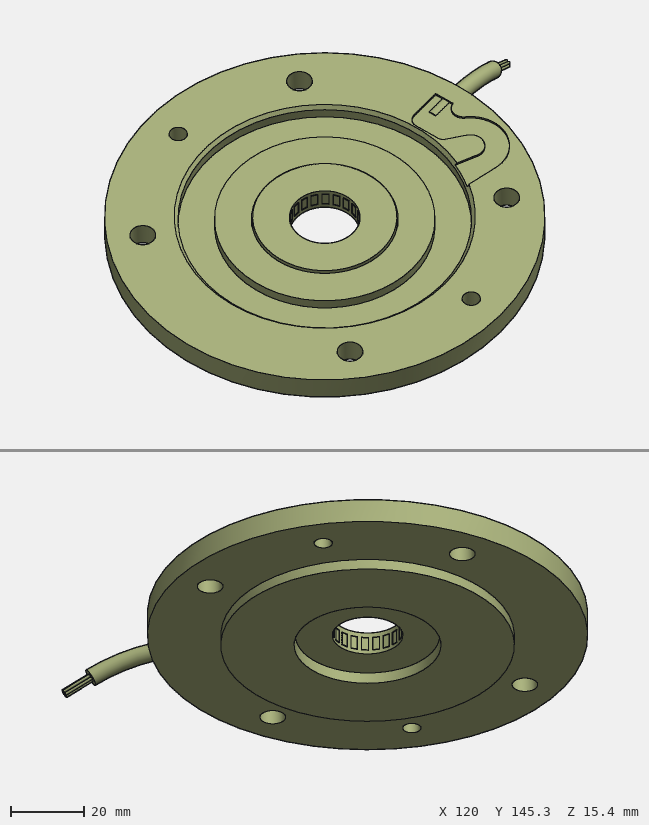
import cadquery as cq
import math

flange_diameter = 120.0
flange_thickness = 7.0
boss_diameter = 80.0
housing_height = 10.0

recess_diameter = 80.0
recess_depth = 3.9
recess_chamfer = 1.0
disc_diameter = 60.0
disc_top_depth = 1.0
hub_opening_diameter = 40.0

hole_circle_radius = 50.0
screw_hole_diameter = 7.0
screw_hole_angles = (45, 135, 225, 315)
dowel_hole_diameter = 5.0
dowel_hole_angles = (0, 180)

channel_depth = 0.6
channel_left = -3.0
channel_back = 54.1
channel_front = 41.5
channel_corner_radius = 3.0
bump_direction = 135.0
bump_radius = 3.3
bend_center = (16.0, 44.6)
outer_bend_radius = 10.6
inner_bend_radius = 3.9
outer_mouth = (23.8, 31.4)
inner_mouth = (16.3, 35.9)
inner_corner = (8.5, 41.5)
inner_corner_radius = 2.2

cable_diameter = 5.0
cable_x = 0.5
cable_depth = 2.8
cable_start = 48.0
cable_bend_start = channel_back
cable_bend_radius = 42.2
cable_bend_angle = 33.6
cable_tilt = 12.0
wire_diameter = 0.81
wire_spacing = 0.9
wire_length = 8.6
wire_overlap = 1.5
outer_wire_count = 6

hub_diameter = 39.3
hub_bore_diameter = 19.2
hub_top_depth = 0.3
hub_thickness = flange_thickness - hub_top_depth
slot_count = 20
slot_width = 1.9
slot_depth = 0.22
slot_length = 3.9
slot_top_depth = 1.7


def cylinder(diameter, top, height):
    """Upright cylinder on the Z axis, hanging down from the given top level."""
    return cq.Workplane("XY").workplane(offset=top - height).circle(diameter / 2).extrude(height)


def polar(center, radius, angle):
    """Point at an angle in degrees on a circle."""
    turn = math.radians(angle)
    return (center[0] + radius * math.cos(turn), center[1] + radius * math.sin(turn))


def tangent_angle(center, radius, point, side):
    """Tangent point angle of a line through an outer point; side 1 is counterclockwise, -1 clockwise."""
    dx = point[0] - center[0]
    dy = point[1] - center[1]
    swing = math.acos(radius / math.hypot(dx, dy))
    return math.degrees(math.atan2(dy, dx) + side * swing)


def make_channel():
    """Cutter for the S-shaped cable channel that opens into the recess."""
    bump_center = polar(bend_center, outer_bend_radius + bump_radius, bump_direction)
    bump_start = 180 + math.degrees(math.asin((bump_center[1] - channel_back) / bump_radius))
    bump_end = 180 + bump_direction

    outer_end = tangent_angle(bend_center, outer_bend_radius, outer_mouth, 1)
    inner_start = tangent_angle(bend_center, inner_bend_radius, inner_mouth, 1)
    inner_end = 360 + tangent_angle(bend_center, inner_bend_radius, inner_corner, -1)

    channel = (
        cq.Workplane("XY").workplane(offset=-channel_depth)
        .moveTo(channel_left, channel_front)
        .lineTo(channel_left, channel_back)
        .lineTo(*polar(bump_center, bump_radius, bump_start))
        .threePointArc(polar(bump_center, bump_radius, (bump_start + bump_end) / 2),
                       polar(bump_center, bump_radius, bump_end))
        .threePointArc(polar(bend_center, outer_bend_radius, (bump_direction + outer_end) / 2),
                       polar(bend_center, outer_bend_radius, outer_end))
        .lineTo(*outer_mouth)
        .lineTo(*inner_mouth)
        .lineTo(*polar(bend_center, inner_bend_radius, inner_start))
        .threePointArc(polar(bend_center, inner_bend_radius, (inner_start + inner_end) / 2),
                       polar(bend_center, inner_bend_radius, inner_end))
        .lineTo(*inner_corner)
        .close()
        .extrude(channel_depth)
    )
    half_depth = channel_depth / 2
    front_left = cq.selectors.NearestToPointSelector((channel_left, channel_front, -half_depth))
    front_right = cq.selectors.NearestToPointSelector((*inner_corner, -half_depth))
    channel = channel.edges(front_left).fillet(channel_corner_radius)
    return channel.edges(front_right).fillet(inner_corner_radius)


def make_flange():
    """Flange and lower boss with the recess, center opening, screw holes and cable channel."""
    flange = cylinder(flange_diameter, 0, flange_thickness)
    flange = flange.union(cylinder(boss_diameter, 0, housing_height))

    recess = cylinder(recess_diameter, 0, recess_depth)
    lead_in = (
        cq.Workplane("XY").circle(recess_diameter / 2 + recess_chamfer)
        .workplane(offset=-recess_chamfer).circle(recess_diameter / 2)
        .loft(ruled=True)
    )
    disc = cylinder(disc_diameter, -disc_top_depth, recess_depth - disc_top_depth)
    flange = flange.cut(recess).cut(lead_in).union(disc)
    flange = flange.cut(cylinder(hub_opening_diameter, 0, housing_height))

    screw_hole = cylinder(screw_hole_diameter, 0, flange_thickness)
    for angle in screw_hole_angles:
        flange = flange.cut(screw_hole.translate(polar((0, 0), hole_circle_radius, angle)))
    dowel_hole = cylinder(dowel_hole_diameter, 0, flange_thickness)
    for angle in dowel_hole_angles:
        flange = flange.cut(dowel_hole.translate(polar((0, 0), hole_circle_radius, angle)))
    return flange.cut(make_channel())


def make_cable():
    """Bent cable with a bundle of bare wires at its free end."""
    bend = math.radians(cable_bend_angle)

    def bend_point(angle):
        along = cable_bend_start + cable_bend_radius * math.sin(angle)
        return (along, cable_bend_radius * (math.cos(angle) - 1))

    path = (
        cq.Workplane("YZ").moveTo(cable_start, 0).lineTo(cable_bend_start, 0)
        .threePointArc(bend_point(bend / 2), bend_point(bend))
    )
    start_plane = cq.Plane(origin=(0, cable_start, 0), xDir=(1, 0, 0), normal=(0, 1, 0))
    cable = cq.Workplane(start_plane).circle(cable_diameter / 2).sweep(path)

    end_plane = cq.Plane(
        origin=(0, *bend_point(bend)), xDir=(1, 0, 0), normal=(0, math.cos(bend), -math.sin(bend)),
    )
    wire_places = [(0, 0)]
    for index in range(outer_wire_count):
        wire_places.append(polar((0, 0), wire_spacing, index * 360 / outer_wire_count))
    for place in wire_places:
        wire = (
            cq.Workplane(end_plane).workplane(offset=-wire_overlap)
            .center(*place).circle(wire_diameter / 2).extrude(wire_overlap + wire_length)
        )
        cable = cable.union(wire)
    return cable.rotate((0, 0, 0), (0, 1, 0), cable_tilt).translate((cable_x, 0, -cable_depth))


def make_housing():
    """Flange with the cable fixed in it, one solid."""
    return make_flange().union(make_cable())


def make_hub():
    """Ring in the center opening, with closed slots around its bore."""
    hub = cylinder(hub_diameter, -hub_top_depth, hub_thickness)
    hub = hub.cut(cylinder(hub_bore_diameter, -hub_top_depth, hub_thickness))
    slot_reach = hub_bore_diameter / 2 + slot_depth
    slot = (
        cq.Workplane("XY").workplane(offset=-slot_top_depth - slot_length)
        .center(slot_reach / 2, 0).rect(slot_reach, slot_width).extrude(slot_length)
    )
    for index in range(slot_count):
        hub = hub.cut(slot.rotate((0, 0, 0), (0, 0, 1), index * 360 / slot_count))
    return hub


housing = make_housing()
hub = make_hub()

result = cq.Compound.makeCompound([housing.val(), hub.val()])